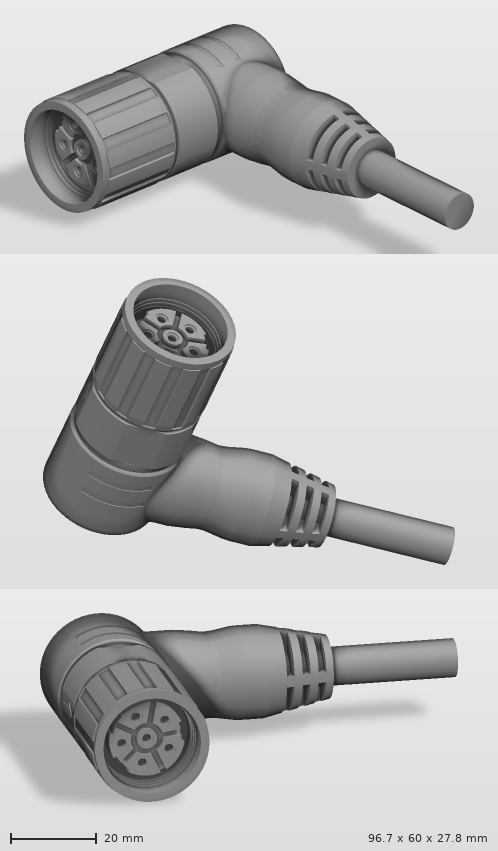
import cadquery as cq
import math

total_length = 96.7
plug_radius = 13.9
boot_radius = 11.0

elbow_top = boot_radius
elbow_bottom = -10.9
sleeve_top = -13.1
sleeve_bottom = -25.0
nut_top = -26.1
nut_mouth = elbow_top - 60.0

elbow_fillet = 2.5
elbow_chamfer = 0.4
band_length = 15.3
band_width = 1.5
band_depth = 0.2
band_centers = (-0.8, -6.3)
boot_root_fillet = 0.8

waist_start = 16.3
waist_end = 31.5
cone_start = 36.45
boot_end = 52.5
waist_radius = 10.1
boot_end_radius = 7.5
relief_starts = (40.8, 44.8, 48.7)
relief_width = 1.9
relief_web = 2.3

cable_radius = 4.5
cable_end = total_length - plug_radius

neck_radius = 13.0
sleeve_radius = 13.8
flat_distance = 12.9
arrow_flat_distance = 13.3
arrow_height = 0.2
arrow_tail = -14.0
arrow_tip = -23.7
arrow_head_length = 3.6
arrow_shaft_half_width = 1.1
arrow_head_half_width = 2.2

nut_end_radius = 13.6
nut_chamfer_length = 1.8
nut_rim_length = 1.9
bore_radius = 11.6
grip_count = 12
grip_width = 3.2
grip_floor_width = 2.7
grip_depth = 0.7
grip_inset = 0.4

shell_face = nut_mouth + 4.7
shell_step_count = 3
shell_step_width = 0.3
shell_step_depth = 1.0
shell_inner_radius = bore_radius - shell_step_count * shell_step_width
socket_depth = 5.8

insert_face = nut_mouth + 5.5
insert_radius = 9.0
channel_count = 5
channel_width = 1.45
channel_depth = 1.45
channel_pitch = 360.0 / channel_count
first_channel_angle = 8.0
ring_outer_radius = 3.9
ring_inner_radius = 2.4
keyed_channels = (0, 2, 3)
keyway_floor_radius = 8.2
keyway_half_angle = 16.5
contact_circle_radius = 6.0
contact_radius = 1.5
contact_recess = 0.4
contact_bore_radius = 1.1
contact_bore_depth = 2.9


def turned_about_y(points):
    """Solid of revolution about Y from (radius, y) points."""
    return cq.Workplane("XY").polyline(points).close().revolve(360, (0, 0), (0, 1))


def toward_mouth(y):
    """Workplane facing -Y at the given y; its local axes are X and Z."""
    return cq.Workplane("XZ", origin=(0, y, 0))


def polar(radius, angle):
    return radius * math.cos(math.radians(angle)), radius * math.sin(math.radians(angle))


def make_boot():
    """Round boot about X with a waist, a grip band and a tapered end."""
    waist_middle = (waist_start + waist_end) / 2
    profile = (
        cq.Workplane("XY")
        .moveTo(0, 0)
        .lineTo(0, boot_radius)
        .lineTo(waist_start, boot_radius)
        .spline(
            [(waist_middle, waist_radius), (waist_end, boot_radius)],
            tangents=[(1, 0), (1, 0)],
            includeCurrent=True,
        )
        .lineTo(cone_start, boot_radius)
        .lineTo(boot_end, boot_end_radius)
        .lineTo(boot_end, 0)
        .close()
    )
    return profile.revolve(360, (0, 0), (1, 0))


def make_elbow():
    """Closed barrel about Y, rounded at the top and chamfered at the bottom."""
    barrel = toward_mouth(elbow_top).circle(plug_radius).extrude(elbow_top - elbow_bottom)
    return barrel.faces(">Y").edges().fillet(elbow_fillet).faces("<Y").edges().chamfer(elbow_chamfer)


def make_boot_root():
    """Concave bead where the boot leaves the straight part of the elbow barrel."""
    length = 2 * boot_end
    barrel = toward_mouth(length / 2).circle(plug_radius).extrude(length)
    stub = cq.Workplane("YZ").circle(boot_radius).extrude(boot_end)
    root_zone = cq.selectors.BoxSelector(
        (0, -boot_end / 2, -boot_end / 2),
        (boot_end / 2, boot_end / 2, boot_end / 2),
        boundingbox=True,
    )
    filleted = barrel.union(stub).edges(root_zone).fillet(boot_root_fillet)
    bottom = elbow_bottom + elbow_chamfer
    top = elbow_top - elbow_fillet
    straight_part = cq.Workplane("XY").box(length, top - bottom, length).translate((0, (top + bottom) / 2, 0))
    return filleted.cut(barrel).cut(stub).intersect(straight_part)


def cut_bands(elbow):
    """Shallow bands of constant depth across the +Z and -Z sides of the elbow."""
    for center in band_centers:
        top = center + band_width / 2
        skin = toward_mouth(top).circle(plug_radius).circle(plug_radius - band_depth).extrude(band_width)
        strip = cq.Workplane("XY").box(band_length, 3 * plug_radius, 3 * plug_radius)
        elbow = elbow.cut(skin.intersect(strip))
    return elbow


def cut_relief_slots(housing):
    """Rows of strain-relief slots that bare the cable, four around each row."""
    for start in relief_starts:
        row = cq.Workplane("YZ", origin=(start, 0, 0))
        ring = row.circle(boot_radius).circle(cable_radius).extrude(relief_width)
        upright_web = row.rect(relief_web, 3 * boot_radius).extrude(relief_width)
        level_web = row.rect(3 * boot_radius, relief_web).extrude(relief_width)
        webs = upright_web.union(level_web)
        housing = housing.cut(ring.cut(webs))
    return housing


def shell_steps():
    """(radius, y) points of the narrowing steps inside the open end of the shell."""
    points = []
    for index in range(shell_step_count):
        outer_radius = bore_radius - index * shell_step_width
        step_y = shell_face + index * shell_step_depth
        points += [(outer_radius, step_y), (outer_radius - shell_step_width, step_y)]
    return points


def make_sleeve():
    """Neck and sleeve with wrench flats, and the open socket shell that carries the nut."""
    sleeve = turned_about_y([
        (0, 0),
        (neck_radius, 0),
        (neck_radius, sleeve_top),
        (sleeve_radius, sleeve_top),
        (sleeve_radius, sleeve_bottom),
        (neck_radius, sleeve_bottom),
        (neck_radius, nut_top),
        (bore_radius, nut_top),
        *shell_steps(),
        (shell_inner_radius, shell_face + socket_depth),
        (0, shell_face + socket_depth),
    ])
    length = sleeve_top - sleeve_bottom
    middle = (sleeve_top + sleeve_bottom) / 2
    slab = 2 * sleeve_radius
    for side in (1, -1):
        offset = side * (flat_distance + slab / 2)
        sleeve = sleeve.cut(cq.Workplane("XY").box(2 * slab, length, slab).translate((0, middle, offset)))
    arrow_offset = -(arrow_flat_distance + slab / 2)
    return sleeve.cut(cq.Workplane("XY").box(slab, length, 2 * slab).translate((arrow_offset, middle, 0)))


def make_arrow():
    """Raised arrow on the -X flat, pointing toward the mouth."""
    head_base = arrow_tip + arrow_head_length
    outline = [
        (arrow_tail, arrow_shaft_half_width),
        (head_base, arrow_shaft_half_width),
        (head_base, arrow_head_half_width),
        (arrow_tip, 0),
        (head_base, -arrow_head_half_width),
        (head_base, -arrow_shaft_half_width),
        (arrow_tail, -arrow_shaft_half_width),
    ]
    plane = cq.Workplane("YZ", origin=(-arrow_flat_distance - arrow_height, 0, 0))
    return plane.polyline(outline).close().extrude(2 * arrow_height)


def keyway_cutter(angle, length):
    """Ring segment that lowers the rim of the insert to the keyway floor."""
    start = angle - keyway_half_angle
    end = angle + keyway_half_angle
    return (
        toward_mouth(insert_face + length)
        .moveTo(*polar(keyway_floor_radius, start))
        .threePointArc(polar(keyway_floor_radius, angle), polar(keyway_floor_radius, end))
        .lineTo(*polar(shell_inner_radius, end))
        .threePointArc(polar(shell_inner_radius, angle), polar(shell_inner_radius, start))
        .close()
        .extrude(length)
    )


def contact_cutter(center):
    """Stepped contact hole sunk from the insert face."""
    recess = toward_mouth(insert_face + contact_recess).center(*center).circle(contact_radius)
    bore = toward_mouth(insert_face + contact_bore_depth).center(*center).circle(contact_bore_radius)
    return recess.extrude(contact_recess).union(bore.extrude(contact_bore_depth))


def make_insert():
    """Pedestal with a ring channel, radial channels, keyways and contact holes."""
    length = shell_face + socket_depth - insert_face
    insert = toward_mouth(insert_face + length).circle(insert_radius).extrude(length)
    floor = toward_mouth(insert_face + channel_depth)
    insert = insert.cut(floor.circle(ring_outer_radius).circle(ring_inner_radius).extrude(channel_depth))
    channel_start = (ring_inner_radius + ring_outer_radius) / 2
    channel_length = insert_radius - channel_start + channel_width
    for index in range(channel_count):
        angle = first_channel_angle + index * channel_pitch
        channel = (
            floor.center(channel_start + channel_length / 2, 0)
            .rect(channel_length, channel_width)
            .extrude(channel_depth)
            .rotate((0, 0, 0), (0, 1, 0), -angle)
        )
        insert = insert.cut(channel)
        if index in keyed_channels:
            insert = insert.cut(keyway_cutter(angle, length))
        insert = insert.cut(contact_cutter(polar(contact_circle_radius, angle + channel_pitch / 2)))
    return insert.cut(contact_cutter((0, 0)))


def make_housing():
    """Elbow, boot, sleeve and insert as one body, bored for the cable."""
    housing = make_elbow().union(make_boot()).union(make_boot_root())
    housing = cut_bands(housing)
    housing = cut_relief_slots(housing)
    housing = housing.union(make_sleeve()).union(make_arrow())
    housing = housing.union(make_insert())
    return housing.cut(make_cable())


def make_coupling_nut():
    """Sleeve nut with grip grooves that end at a plain mouth rim."""
    nut = turned_about_y([
        (bore_radius, nut_top),
        (nut_end_radius, nut_top),
        (plug_radius, nut_top - nut_chamfer_length),
        (plug_radius, nut_mouth + nut_rim_length),
        (nut_end_radius, nut_mouth + nut_rim_length),
        (nut_end_radius, nut_mouth),
        (bore_radius, nut_mouth),
    ])
    grip_top = nut_top - grip_inset
    grip_length = grip_top - (nut_mouth + nut_rim_length)
    floor_radius = plug_radius - grip_depth
    cutter_radius = plug_radius + grip_depth
    cutter_width = 2 * grip_width - grip_floor_width
    outline = [
        (floor_radius, -grip_floor_width / 2),
        (cutter_radius, -cutter_width / 2),
        (cutter_radius, cutter_width / 2),
        (floor_radius, grip_floor_width / 2),
    ]
    for index in range(grip_count):
        groove = (
            toward_mouth(grip_top)
            .polyline(outline)
            .close()
            .extrude(grip_length)
            .rotate((0, 0, 0), (0, 1, 0), index * 360.0 / grip_count)
        )
        nut = nut.cut(groove)
    return nut


def make_cable():
    """Plain round cable, seated in the tapered end of the boot."""
    return cq.Workplane("YZ", origin=(cone_start, 0, 0)).circle(cable_radius).extrude(cable_end - cone_start)


housing = make_housing()
coupling_nut = make_coupling_nut()
cable = make_cable()

result = cq.Compound.makeCompound([housing.val(), coupling_nut.val(), cable.val()])